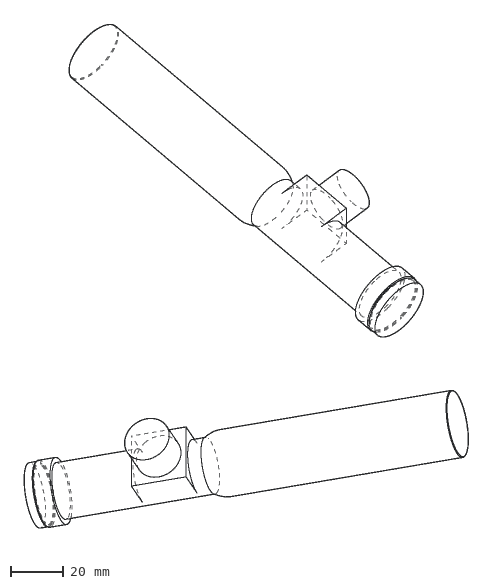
import cadquery as cq
import math

overall_length = 170.3
barrel_radius = 13.0
tube_radius = 11.0
barrel_end_chamfer = 0.3

shoulder_start = 93.5
shoulder_blend_radius = 10.0
shoulder_cone_angle = math.radians(30)

collar_length = 10.6
end_band_length = 3.3
end_band_radius = 12.7
groove_width = 0.5
groove_radius = 12.0

port_x = 116.0
block_width = 2 * tube_radius
block_reach = barrel_radius
stub_diameter = 18.0
stub_reach = 27.0


def turned_body():
    """Barrel, shoulder, tube and collar as one revolved profile."""
    blend_length = shoulder_blend_radius * math.sin(shoulder_cone_angle)
    blend_drop = shoulder_blend_radius * (1 - math.cos(shoulder_cone_angle))
    blend_end = shoulder_start + blend_length
    blend_end_radius = barrel_radius - blend_drop
    cone_end = blend_end + (blend_end_radius - tube_radius) / math.tan(shoulder_cone_angle)

    collar_start = overall_length - collar_length
    groove_end = overall_length - end_band_length
    groove_start = groove_end - groove_width
    return (
        cq.Workplane("XY")
        .lineTo(0, barrel_radius - barrel_end_chamfer)
        .lineTo(barrel_end_chamfer, barrel_radius)
        .lineTo(shoulder_start, barrel_radius)
        .tangentArcPoint((blend_end, blend_end_radius), relative=False)
        .lineTo(cone_end, tube_radius)
        .lineTo(collar_start, tube_radius)
        .lineTo(collar_start, barrel_radius)
        .lineTo(groove_start, barrel_radius)
        .lineTo(groove_start, groove_radius)
        .lineTo(groove_end, groove_radius)
        .lineTo(groove_end, end_band_radius)
        .lineTo(overall_length, end_band_radius)
        .lineTo(overall_length, 0)
        .close()
        .revolve(360, (0, 0, 0), (1, 0, 0))
    )


def port_block():
    """Square block from the tube axis out to the barrel radius."""
    return (
        cq.Workplane("XY")
        .box(block_width, block_reach, block_width, centered=(True, False, True))
        .translate((port_x, 0, 0))
    )


def port_stub():
    """Round stub from the tube axis out through the block."""
    return (
        cq.Workplane("XZ", origin=(port_x, 0, 0))
        .circle(stub_diameter / 2)
        .extrude(-stub_reach)
    )


result = turned_body().union(port_block()).union(port_stub())